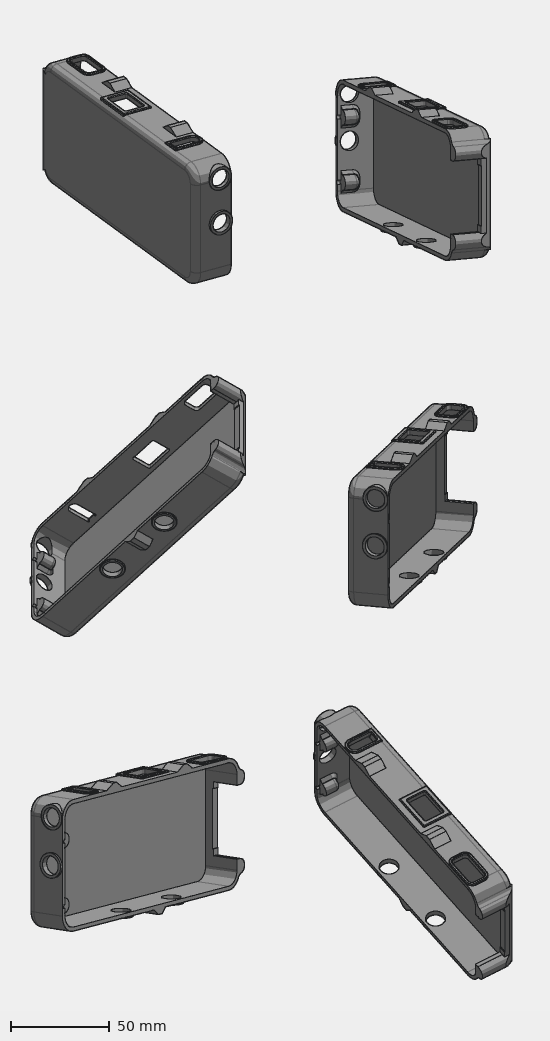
import cadquery as cq
import math

OVERALL_LENGTH = 153.7
OVERALL_HEIGHT = 74.0
DEPTH = 22.0
WALL = 2.2
HALF_HEIGHT = 34.0
BODY_LEFT = 4.3
BODY_RIGHT = 152.4
CORNER_R = 9.2
EDGE_R = 3.8

POST_R = 3.8
POST_Z = 22.9
POST_INNER_Z = POST_Z - POST_R
POST_BLEND_R = 3.8
RAIL_X = 2.5
RAIL_TOP = 6.6
RAIL_STEP_TOP = 7.0
RAIL_STEP_Z = 15.5
SLANT_X = 4.9
SLANT_Y = 7.8

RIM_HEIGHT = 0.9
RIM_CHAMFER = 0.5
RIM_SINK = 1.5
ROUND_Y = 15.4
ROUND_RIM_D = 13.0
ROUND_HOLE_D = 10.0
END_PORT_Z = 0.8
END_RIM_HEIGHT = OVERALL_LENGTH - BODY_RIGHT
CORNER_PORT_Z = 25.5
CORNER_RIM_HEIGHT = 0.5
BOTTOM_PORTS_X = (52.6, 94.7)

PORT_MOUTH = 0.5
SHARP_PORT_R = 0.8
TOP_PORTS = (
    ((11.8, 33.7, 8.8, 21.8), 1.8, 4.0, 4.0),
    ((58.5, 81.0, 1.8, 18.5), 2.8, 0, 0),
    ((118.7, 128.7, 3.4, 21.8), 1.8, 0, 4.9),
)

RAMP_X = (121.3, 126.0)
RAMP_START_Y = 5.2
RAMP_END_Y = 6.5
RAMP_ROOT = 0.8

WEDGE_LENGTH = 10.0
WEDGE_HEIGHT = OVERALL_HEIGHT / 2 - HALF_HEIGHT
TOP_WEDGES = ((43.5, 48.1, 51.2, 56.1), (102.5, 107.0, 109.8, 115.5))
BOTTOM_WEDGES = ((66.0, 68.9, 72.0, 75.8),)

STOPS_Z = (13.5, -20.1)
STOP_RIM_Y = 20.1
STOP_BOTTOM_Y = 9.7
STOP_HALF = 5.8
STOP_CORNER_R = 4.2
STOP_INSET = 2.0
STOP_TAPER = 40
STOP_GROOVE_D = 2.2


def block(x0, x1, y0, y1, z0, z1):
    return cq.Workplane("XY").box(x1 - x0, y1 - y0, z1 - z0, centered=False).translate((x0, y0, z0))


def y_cylinder(radius, x, z, y0, y1):
    return cq.Workplane("XZ", origin=(x, y0, z)).circle(radius).extrude(y0 - y1)


def x_cylinder(diameter, x0, x1, y, z):
    return cq.Workplane("YZ", origin=(x0, y, z)).circle(diameter / 2).extrude(x1 - x0)


def z_cylinder(diameter, x, y, z0, z1):
    return cq.Workplane("XY", origin=(x, y, z0)).circle(diameter / 2).extrude(z1 - z0)


def toward(blend_x, blend_z, x, z):
    """Point of the blend circle on the line from its centre to (x, z)."""
    scale = POST_BLEND_R / math.hypot(x - blend_x, z - blend_z)
    return blend_x + (x - blend_x) * scale, blend_z + (z - blend_z) * scale


def post_blend(side):
    """Concave filler between a post and the rounded body corner."""
    corner_x = BODY_LEFT + CORNER_R
    corner_z = HALF_HEIGHT - CORNER_R
    dx = corner_x - POST_R
    dz = corner_z - POST_Z
    span = math.hypot(dx, dz)
    to_post = POST_R + POST_BLEND_R
    to_corner = CORNER_R + POST_BLEND_R
    along = (span**2 + to_post**2 - to_corner**2) / (2 * span)
    across = math.sqrt(to_post**2 - along**2)
    blend_x = POST_R + (along * dx - across * dz) / span
    blend_z = POST_Z + (along * dz + across * dx) / span
    post_touch = toward(blend_x, blend_z, POST_R, POST_Z)
    corner_touch = toward(blend_x, blend_z, corner_x, corner_z)
    chord_mid_x = (post_touch[0] + corner_touch[0]) / 2
    chord_mid_z = (post_touch[1] + corner_touch[1]) / 2
    arc_mid = toward(blend_x, blend_z, chord_mid_x, chord_mid_z)
    filler = (
        cq.Workplane("XZ")
        .moveTo(*post_touch)
        .threePointArc(arc_mid, corner_touch)
        .lineTo(corner_x, corner_z)
        .lineTo(POST_R, POST_Z)
        .close()
        .extrude(-DEPTH)
    )
    return filler if side > 0 else filler.mirror("XY")


def make_body():
    """Rounded block with the rail and posts on its left end, bevelled where they meet the back."""
    body = block(BODY_LEFT, BODY_RIGHT, 0, DEPTH, -HALF_HEIGHT, HALF_HEIGHT)
    body = body.edges("|Y").fillet(CORNER_R)
    body = body.faces("<Y").edges().fillet(EDGE_R)
    rail_half = HALF_HEIGHT - CORNER_R
    left = block(RAIL_X, BODY_LEFT + CORNER_R, 0, RAIL_STEP_TOP, -rail_half, rail_half)
    for side in (1, -1):
        left = left.union(y_cylinder(POST_R, POST_R, side * POST_Z, 0, DEPTH))
        left = left.union(post_blend(side))
    bevelled_space = (
        cq.Workplane("XY", origin=(0, 0, -HALF_HEIGHT))
        .polyline([(0, SLANT_Y), (SLANT_X, 0), (BODY_RIGHT, 0), (BODY_RIGHT, DEPTH), (0, DEPTH)])
        .close()
        .extrude(2 * HALF_HEIGHT)
    )
    bevel_corner = bevelled_space.edges(cq.NearestToPointSelector((SLANT_X, 0, 0)))
    bevelled_space = bevel_corner.fillet(EDGE_R)
    return body.union(left.intersect(bevelled_space))


def make_cavity():
    """Hollow of the case and the stepped opening between the posts."""
    cavity = block(BODY_LEFT + WALL, BODY_RIGHT - WALL, WALL, DEPTH, WALL - HALF_HEIGHT, HALF_HEIGHT - WALL)
    cavity = cavity.edges("|Y").fillet(CORNER_R - WALL)
    inside = BODY_LEFT + CORNER_R
    cavity = cavity.union(block(0, inside, RAIL_STEP_TOP, DEPTH, -POST_INNER_Z, POST_INNER_Z))
    return cavity.union(block(0, inside, RAIL_TOP, DEPTH, -RAIL_STEP_Z, RAIL_STEP_Z))


def plate(outline, inset, z0, z1, back_r, front_r):
    """Rounded plate in the X-Y plane, shrunk by inset; back_r is near the back, front_r near the open rim."""
    x0, x1, y0, y1 = outline
    shape = block(x0 + inset, x1 - inset, y0 + inset, y1 - inset, z0, z1)
    if back_r:
        shape = shape.edges("|Z and <Y").fillet(back_r - inset)
    if front_r:
        shape = shape.edges("|Z and >Y").fillet(front_r - inset)
    return shape


def add_rims(body):
    top = HALF_HEIGHT + RIM_HEIGHT
    for outline, _, back_r, front_r in TOP_PORTS:
        rim = plate(outline, 0, HALF_HEIGHT - RIM_SINK, top, back_r, front_r)
        body = body.union(rim.faces(">Z").edges().chamfer(RIM_CHAMFER))
    for x in BOTTOM_PORTS_X:
        rim = z_cylinder(ROUND_RIM_D, x, ROUND_Y, -top, RIM_SINK - HALF_HEIGHT)
        body = body.union(rim.faces("<Z").chamfer(RIM_CHAMFER))
    end_rim = x_cylinder(ROUND_RIM_D, BODY_RIGHT - RIM_SINK, BODY_RIGHT + END_RIM_HEIGHT, ROUND_Y, END_PORT_Z)
    corner_rim = x_cylinder(
        ROUND_RIM_D, BODY_RIGHT - CORNER_R, BODY_RIGHT + CORNER_RIM_HEIGHT, ROUND_Y, CORNER_PORT_Z
    )
    return body.union(end_rim).union(corner_rim)


def cut_ports(body):
    inner = HALF_HEIGHT - 2 * WALL
    outer = HALF_HEIGHT + RIM_HEIGHT
    for outline, rim_width, back_r, front_r in TOP_PORTS:
        back_r = max(back_r, rim_width + SHARP_PORT_R)
        front_r = max(front_r, rim_width + SHARP_PORT_R)
        mouth_inset = rim_width - PORT_MOUTH
        mouth = plate(outline, mouth_inset, outer - PORT_MOUTH, outer + PORT_MOUTH, back_r, front_r)
        body = body.cut(plate(outline, rim_width, inner, outer, back_r, front_r))
        body = body.cut(mouth.faces("<Z").edges().chamfer(PORT_MOUTH))
    for x in BOTTOM_PORTS_X:
        body = body.cut(z_cylinder(ROUND_HOLE_D, x, ROUND_Y, -outer, -inner))
    for z in (END_PORT_Z, CORNER_PORT_Z):
        hole = x_cylinder(ROUND_HOLE_D, BODY_RIGHT - CORNER_R, BODY_RIGHT + END_RIM_HEIGHT, ROUND_Y, z)
        body = body.cut(hole)
    return body


def port_ramp():
    """Slope in the arched port, rising from its back edge towards the inside of the wall."""
    inside = HALF_HEIGHT - WALL
    profile = [(RAMP_START_Y, HALF_HEIGHT), (RAMP_END_Y, inside), (RAMP_START_Y - RAMP_ROOT, inside)]
    profile.append((RAMP_START_Y - RAMP_ROOT, HALF_HEIGHT))
    x0, x1 = RAMP_X
    return cq.Workplane("YZ", origin=(x0, 0, 0)).polyline(profile).close().extrude(x1 - x0)


def wedge(foot_start, flat_start, flat_end, foot_end, side):
    base = side * HALF_HEIGHT
    crest = side * (HALF_HEIGHT + WEDGE_HEIGHT)
    return (
        cq.Workplane("XZ", origin=(0, DEPTH, 0))
        .polyline([(foot_start, base), (flat_start, crest), (flat_end, crest), (foot_end, base)])
        .close()
        .extrude(WEDGE_LENGTH)
    )


def end_stop(z):
    """Stop with sloping sides on the end wall, carrying a half-round nose."""
    wall_x = BODY_RIGHT - WALL
    corner = STOP_CORNER_R * (1 - math.sqrt(0.5))
    flat_half = STOP_HALF - STOP_CORNER_R
    arc_y = STOP_BOTTOM_Y + STOP_CORNER_R
    base = (
        cq.Workplane("YZ", origin=(wall_x, 0, z))
        .moveTo(DEPTH, -STOP_HALF)
        .lineTo(arc_y, -STOP_HALF)
        .threePointArc((STOP_BOTTOM_Y + corner, corner - STOP_HALF), (STOP_BOTTOM_Y, -flat_half))
        .lineTo(STOP_BOTTOM_Y, flat_half)
        .threePointArc((STOP_BOTTOM_Y + corner, STOP_HALF - corner), (arc_y, STOP_HALF))
        .lineTo(DEPTH, STOP_HALF)
        .close()
        .extrude(-STOP_INSET, taper=STOP_TAPER)
    )
    nose_r = STOP_HALF - STOP_INSET
    nose = y_cylinder(nose_r, wall_x - STOP_INSET, z, STOP_BOTTOM_Y + STOP_INSET, STOP_RIM_Y)
    nose = nose.faces("<Y").edges().fillet(STOP_CORNER_R - STOP_INSET)
    envelope = block(0, wall_x, 0, STOP_RIM_Y, -HALF_HEIGHT, HALF_HEIGHT)
    return base.union(nose).intersect(envelope)


body = add_rims(make_body())
body = cut_ports(body.cut(make_cavity()))
body = body.union(port_ramp())
for points in TOP_WEDGES:
    body = body.union(wedge(*points, 1))
for points in BOTTOM_WEDGES:
    body = body.union(wedge(*points, -1))
for z in STOPS_Z:
    body = body.union(end_stop(z))
    body = body.cut(y_cylinder(STOP_GROOVE_D / 2, BODY_RIGHT - WALL, z, STOP_RIM_Y, DEPTH))

result = body